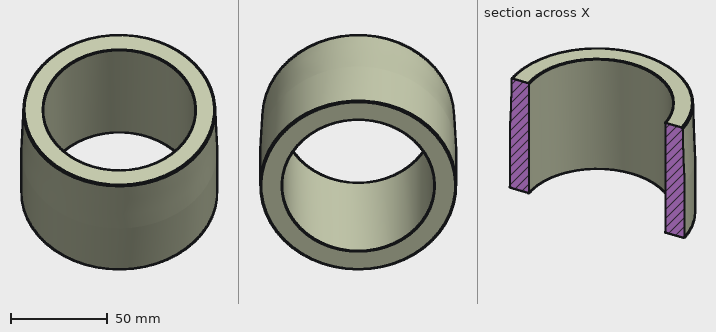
import cadquery as cq

outer_diameter = 101.6
bore_diameter = 78.74
height = 69.85

taper_start = 35.0
taper_inset = 1.09

outer_chamfer = 0.635
bore_chamfer = 0.35

outer_radius = outer_diameter / 2
bore_radius = bore_diameter / 2
top_radius = outer_radius - taper_inset


def sleeve_blank():
    """Solid of revolution about Z: straight bore, straight lower wall, tapered upper wall."""
    profile = (
        cq.Workplane("XZ")
        .moveTo(bore_radius, 0)
        .lineTo(outer_radius, 0)
        .lineTo(outer_radius, taper_start)
        .lineTo(top_radius, height)
        .lineTo(bore_radius, height)
        .close()
    )
    return profile.revolve(360, (0, 0, 0), (0, 1, 0))


def break_edges(body):
    """Chamfer the outer and bore rims at both ends."""
    smallest_rim = cq.selectors.RadiusNthSelector(0)
    largest_rim = cq.selectors.RadiusNthSelector(-1)
    for end_face in ("<Z", ">Z"):
        body = body.faces(end_face).edges(largest_rim).chamfer(outer_chamfer)
        body = body.faces(end_face).edges(smallest_rim).chamfer(bore_chamfer)
    return body


result = break_edges(sleeve_blank())